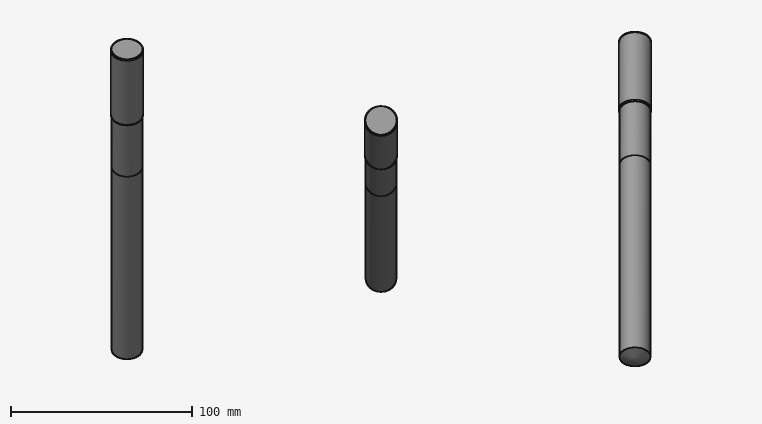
import cadquery as cq
import math

total_length = 223.0
head_diameter = 18.0
head_length = 48.6
bevel_height = 1.0
shaft_diameter = 17.2
rod_top = 137.0
point_angle = 140.0

head_radius = head_diameter / 2
shaft_radius = shaft_diameter / 2
head_bottom = total_length - head_length
tip_height = shaft_radius / math.tan(math.radians(point_angle / 2))


def make_holder():
    """Head bevelled at both ends with a slimmer neck below it, turned about Z."""
    profile = (
        cq.Workplane("YZ")
        .moveTo(0, rod_top)
        .lineTo(-shaft_radius, rod_top)
        .lineTo(-shaft_radius, head_bottom)
        .lineTo(-head_radius, head_bottom + bevel_height)
        .lineTo(-head_radius, total_length - bevel_height)
        .lineTo(-shaft_radius, total_length)
        .lineTo(0, total_length)
        .close()
    )
    return profile.revolve(360, (0, 0, 0), (0, 1, 0))


def make_rod():
    """Plain cylindrical rod with a conical tip, turned about Z."""
    profile = (
        cq.Workplane("XZ")
        .moveTo(0, 0)
        .lineTo(-shaft_radius, tip_height)
        .lineTo(-shaft_radius, rod_top)
        .lineTo(0, rod_top)
        .close()
    )
    return profile.revolve(360, (0, 0, 0), (0, 1, 0))


holder = make_holder()
rod = make_rod()

result = cq.Compound.makeCompound([holder.val(), rod.val()])